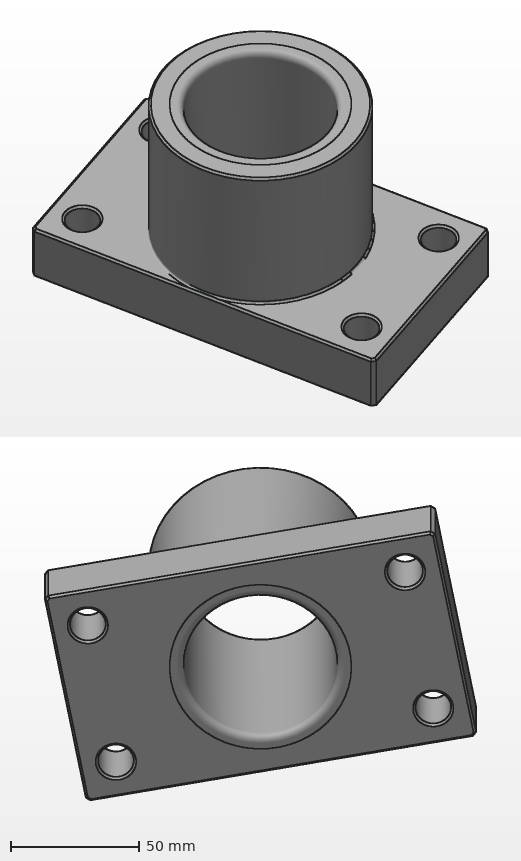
import cadquery as cq

PLATE_LENGTH = 155.0
PLATE_WIDTH = 90.0
PLATE_THICKNESS = 25.0
CORNER_CHAMFER = 1.5
PLATE_EDGE_CHAMFER = 1.0

TOTAL_HEIGHT = 90.0
BOSS_DIAMETER = 87.4
BOSS_CHAMFER = 1.0
BOSS_ROOT_FILLET = 1.0

HOLE_DIAMETER = 14.0
HOLE_CHAMFER = 1.0
HOLE_SPACING_X = 126.0
HOLE_SPACING_Y = 60.0

BUSHING_DIAMETER = 71.0
BORE_DIAMETER = 60.0
BORE_FILLET = 3.0


def make_plate():
    """Rectangular flange with chamfered corners, top rim and bottom rim."""
    plate = cq.Workplane("XY").box(
        PLATE_LENGTH, PLATE_WIDTH, PLATE_THICKNESS, centered=(True, True, False)
    )
    plate = plate.edges("|Z").chamfer(CORNER_CHAMFER)
    return plate.faces("<Z or >Z").edges().chamfer(PLATE_EDGE_CHAMFER)


def make_boss():
    """Revolved boss with a chamfered top and a concave fillet at its root.

    The profile reaches down to the underside of the plate so that the boss
    joins the plate through its full thickness.
    """
    radius = BOSS_DIAMETER / 2
    root_radius = radius + BOSS_ROOT_FILLET
    fillet_top = PLATE_THICKNESS + BOSS_ROOT_FILLET
    mid_offset = BOSS_ROOT_FILLET * (1 - 0.5 ** 0.5)
    profile = (
        cq.Workplane("XZ")
        .lineTo(radius, 0)
        .lineTo(radius, PLATE_THICKNESS)
        .lineTo(root_radius, PLATE_THICKNESS)
        .threePointArc(
            (radius + mid_offset, PLATE_THICKNESS + mid_offset),
            (radius, fillet_top),
        )
        .lineTo(radius, TOTAL_HEIGHT - BOSS_CHAMFER)
        .lineTo(radius - BOSS_CHAMFER, TOTAL_HEIGHT)
        .lineTo(0, TOTAL_HEIGHT)
        .close()
    )
    boss = profile.revolve(360, (0, 0, 0), (0, 1, 0))
    flat_width = PLATE_WIDTH - 2 * PLATE_EDGE_CHAMFER
    trim_block = cq.Workplane("XY").box(
        PLATE_LENGTH, flat_width, TOTAL_HEIGHT, centered=(True, True, False)
    )
    return boss.intersect(trim_block)


def make_mounting_hole_cutters():
    """Through-hole tools that also chamfer both hole mouths."""
    radius = HOLE_DIAMETER / 2
    mouth_radius = radius + HOLE_CHAMFER
    profile = (
        cq.Workplane("XZ")
        .lineTo(mouth_radius, 0)
        .lineTo(radius, HOLE_CHAMFER)
        .lineTo(radius, PLATE_THICKNESS - HOLE_CHAMFER)
        .lineTo(mouth_radius, PLATE_THICKNESS)
        .lineTo(0, PLATE_THICKNESS)
        .close()
    )
    cutter = profile.revolve(360, (0, 0, 0), (0, 1, 0)).val()
    places = cq.Workplane("XY").rect(HOLE_SPACING_X, HOLE_SPACING_Y, forConstruction=True).vertices()
    return places.eachpoint(lambda place: cutter.moved(place))


def make_housing():
    """Plate and boss in one piece, bored through to receive the bushing."""
    seat = cq.Workplane("XY").circle(BUSHING_DIAMETER / 2).extrude(TOTAL_HEIGHT)
    housing = make_plate().union(make_boss()).cut(seat)
    return housing.cut(make_mounting_hole_cutters())


def make_bushing():
    """Sleeve flush with both ends of the housing, its bore mouths rounded."""
    sleeve = (
        cq.Workplane("XY")
        .circle(BUSHING_DIAMETER / 2)
        .circle(BORE_DIAMETER / 2)
        .extrude(TOTAL_HEIGHT)
    )
    bore_rims = sleeve.edges(cq.selectors.RadiusNthSelector(0))
    return bore_rims.fillet(BORE_FILLET)


housing = make_housing()
bushing = make_bushing()

result = cq.Compound.makeCompound([housing.solids().val(), bushing.solids().val()])